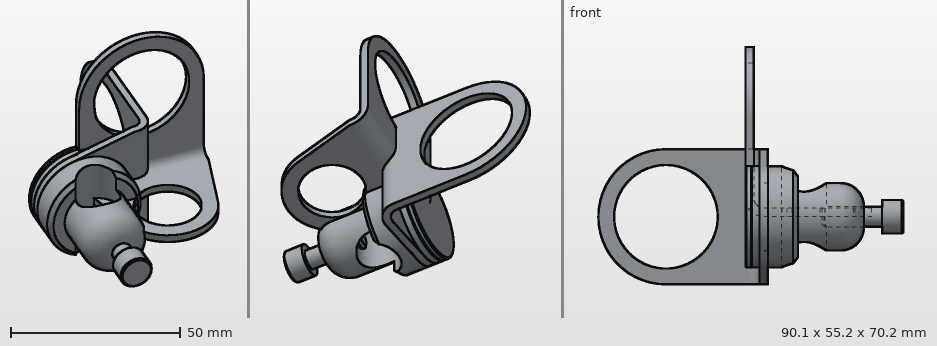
import cadquery as cq
import math


plate_thickness = 2.5
bracket_width = 40.0
ring_hole_diameter = 30.5
ring_height = 30.1
bend_inner_radius = 3.0
bend_outer_radius = bend_inner_radius + plate_thickness
leg_straight_length = 6.0
leg_reach = 22.3
leg_hole_diameter = 20.1
leg_end_diameter = 30.0

disc_diameter = 30.0
disc_edge_chamfer = 0.4
groove_diameter = 21.0
groove_start = 1.6
groove_width = 0.4
seat_start = 4.1
seat_end = seat_start + plate_thickness
neck_diameter = 20.0
flange_end = 15.6
flange_chamfer = 1.4
stem_end = 35.1
dome_radius = 7.0
cross_hole_diameter = 13.3
cross_hole_x = 17.3

shank_diameter = 6.0
tip_x = 22.6
tip_chamfer = 0.9
head_diameter = 10.0
head_start = 40.4
screw_end = 46.6
head_chamfer = 0.45

upright_center_y = 20.2
upright_leg_z = 0.1


def make_bracket():
    """Bracket with its ring plate standing along Z from X = 0 and its leg along X from Z = 0."""
    half_width = bracket_width / 2
    ring_plate = (
        cq.Workplane("YZ")
        .moveTo(-half_width, bend_outer_radius)
        .lineTo(half_width, bend_outer_radius)
        .lineTo(half_width, ring_height)
        .threePointArc((0, ring_height + half_width), (-half_width, ring_height))
        .close()
        .extrude(plate_thickness)
    )
    ring_hole = (
        cq.Workplane("YZ").center(0, ring_height).circle(ring_hole_diameter / 2).extrude(plate_thickness)
    )

    bend_center = (bend_outer_radius, bend_outer_radius)
    bend = (
        cq.Workplane("XZ")
        .center(*bend_center)
        .circle(bend_outer_radius)
        .circle(bend_inner_radius)
        .extrude(half_width, both=True)
    )
    bend_quarter = cq.Workplane("XY").box(
        bend_outer_radius, bracket_width, bend_outer_radius, centered=(False, True, False)
    )
    bend = bend.intersect(bend_quarter)

    end_radius = leg_end_diameter / 2
    run = leg_reach - leg_straight_length
    taper = math.asin(end_radius / math.hypot(run, half_width)) - math.atan2(half_width, run)
    tangent_x = leg_reach - end_radius * math.sin(taper)
    tangent_y = end_radius * math.cos(taper)
    leg = (
        cq.Workplane("XY")
        .moveTo(bend_outer_radius, -half_width)
        .lineTo(leg_straight_length, -half_width)
        .lineTo(tangent_x, -tangent_y)
        .threePointArc((leg_reach + end_radius, 0), (tangent_x, tangent_y))
        .lineTo(leg_straight_length, half_width)
        .lineTo(bend_outer_radius, half_width)
        .close()
        .extrude(plate_thickness)
    )
    leg_hole = cq.Workplane("XY").center(leg_reach, 0).circle(leg_hole_diameter / 2).extrude(plate_thickness)

    return ring_plate.cut(ring_hole).union(bend).union(leg.cut(leg_hole))


def cylinder_along_x(diameter, start, end):
    return cq.Workplane("YZ", origin=(start, 0, 0)).circle(diameter / 2).extrude(end - start)


def make_clevis():
    """Disc, flange and domed stem in one piece, with the cross hole and the screw hole."""
    disc = cylinder_along_x(disc_diameter, 0, seat_start).faces("<X").chamfer(disc_edge_chamfer)
    groove_end = groove_start + groove_width
    groove = cylinder_along_x(disc_diameter, groove_start, groove_end).cut(
        cylinder_along_x(groove_diameter, groove_start, groove_end)
    )
    flange = cylinder_along_x(disc_diameter, seat_end, flange_end).faces(">X").chamfer(flange_chamfer)
    stem = cylinder_along_x(neck_diameter, 0, stem_end).faces(">X").edges().fillet(dome_radius)
    cross_hole = (
        cq.Workplane("XY")
        .center(cross_hole_x, 0)
        .circle(cross_hole_diameter / 2)
        .extrude(disc_diameter / 2, both=True)
    )
    screw_hole = cylinder_along_x(shank_diameter, cross_hole_x, stem_end)
    return disc.cut(groove).union(stem).union(flange).cut(cross_hole).cut(screw_hole)


def make_screw():
    """Cap screw whose tip reaches into the cross hole."""
    shank = cylinder_along_x(shank_diameter, tip_x, head_start).faces("<X").chamfer(tip_chamfer)
    head = cylinder_along_x(head_diameter, head_start, screw_end).faces(">X").chamfer(head_chamfer)
    return shank.union(head)


bracket = make_bracket().solids().val()

upright_bracket = bracket.moved(cq.Location(cq.Vector(0, upright_center_y, upright_leg_z)))

side_plane = cq.Plane(origin=(seat_end, leg_reach, 0), xDir=(0, -1, 0), normal=(-1, 0, 0))
side_bracket = cq.Workplane(bracket.moved(cq.Location(side_plane))).cut(cq.Workplane(upright_bracket))

clevis = make_clevis().cut(cq.Workplane(upright_bracket))
screw = make_screw()

result = cq.Compound.makeCompound(
    [
        upright_bracket,
        side_bracket.solids().val(),
        clevis.solids().val(),
        screw.solids().val(),
    ]
)